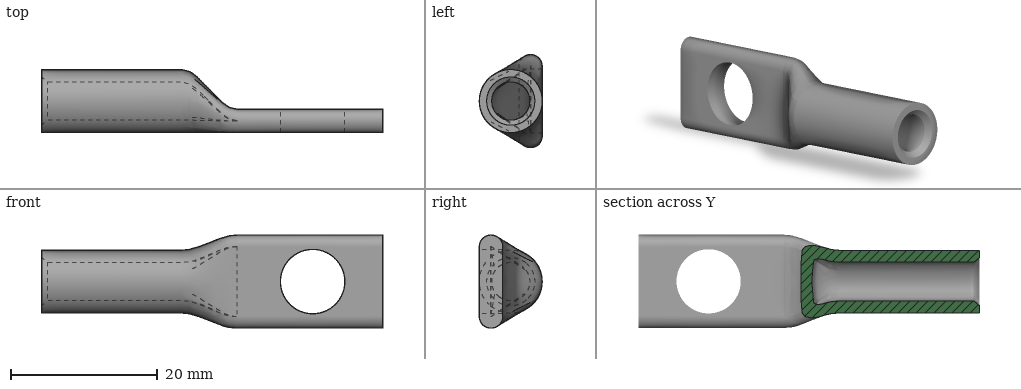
import cadquery as cq
import math

total_length = 46.43
barrel_length = 19.05
transition_length = 7.55
barrel_radius = 8.59 / 2
bore_radius = 2.6

palm_width = 12.7
palm_thickness = 3.2
palm_start = barrel_length + transition_length
palm_length = total_length - palm_start
palm_center_y = palm_thickness / 2 - barrel_radius

stud_hole_diameter = 8.74
stud_hole_x = 36.88

entry_chamfer_radius = 3.28
entry_chamfer_depth = 0.8

slit_thickness = 0.06
slit_width = palm_width - palm_thickness + slit_thickness

flat_half_angle = 34
ease_share = 0.3
section_count = 9


def flattening(position):
    """Flattened share, 0 to 1, at a position from 0 to 1 along the transition."""
    slope = 1 / (1 - ease_share)
    if position < ease_share:
        return slope * position**2 / (2 * ease_share)
    if position > 1 - ease_share:
        return 1 - slope * (1 - position)**2 / (2 * ease_share)
    return slope * (position - ease_share / 2)


def round_points(radius):
    """Eight (y, z) points around a circle: arc ends alternating with arc middles."""
    angles = [
        180 + flat_half_angle, 180, 180 - flat_half_angle, 90,
        flat_half_angle, 0, -flat_half_angle, -90,
    ]
    return [
        (radius * math.cos(math.radians(angle)), radius * math.sin(math.radians(angle)))
        for angle in angles
    ]


def flat_points(width, thickness):
    """The matching eight points around a round-ended slot at the palm's mid-thickness."""
    front = palm_center_y - thickness / 2
    back = palm_center_y + thickness / 2
    tip = width / 2
    flat_end = tip - thickness / 2
    return [
        (front, -flat_end), (front, 0), (front, flat_end), (palm_center_y, tip),
        (back, flat_end), (back, 0), (back, -flat_end), (palm_center_y, -tip),
    ]


def section_wire(x, points, straight_faces):
    """Closed outline at x: front, upper, back and lower stretches in turn."""
    corners = [cq.Vector(x, y, z) for y, z in points]
    edges = []
    for start in range(0, len(corners), 2):
        first = corners[start]
        middle = corners[start + 1]
        last = corners[(start + 2) % len(corners)]
        is_face = start % 4 == 0
        if is_face and straight_faces:
            edges.append(cq.Edge.makeLine(first, last))
        else:
            edges.append(cq.Edge.makeThreePointArc(first, middle, last))
    return cq.Wire.assembleEdges(edges)


def flattened_loft(radius, width, thickness):
    """Transition solid from a circle at the barrel to a slot at the palm."""
    wires = []
    for index in range(section_count):
        position = index / (section_count - 1)
        share = flattening(position)
        points = [
            (y0 + share * (y1 - y0), z0 + share * (z1 - z0))
            for (y0, z0), (y1, z1) in zip(round_points(radius), flat_points(width, thickness))
        ]
        x = barrel_length + position * transition_length
        wires.append(section_wire(x, points, index == section_count - 1))
    return cq.Workplane(obj=cq.Solid.makeLoft(wires))


def barrel(radius):
    return cq.Workplane("YZ").circle(radius).extrude(barrel_length)


def palm():
    wire = section_wire(palm_start, flat_points(palm_width, palm_thickness), True)
    blank = cq.Solid.extrudeLinear(wire, [], cq.Vector(palm_length, 0, 0))
    return cq.Workplane(obj=blank)


def stud_hole():
    return (
        cq.Workplane("XZ")
        .center(stud_hole_x, 0)
        .circle(stud_hole_diameter / 2)
        .extrude(barrel_radius, both=True)
    )


def entry_chamfer():
    cone = cq.Solid.makeCone(
        entry_chamfer_radius, bore_radius, entry_chamfer_depth,
        pnt=cq.Vector(0, 0, 0), dir=cq.Vector(1, 0, 0),
    )
    return cq.Workplane(obj=cone)


body = (
    barrel(barrel_radius)
    .union(flattened_loft(barrel_radius, palm_width, palm_thickness))
    .union(palm())
)
cavity = barrel(bore_radius).union(flattened_loft(bore_radius, slit_width, slit_thickness))

result = body.cut(cavity).cut(entry_chamfer()).cut(stud_hole())